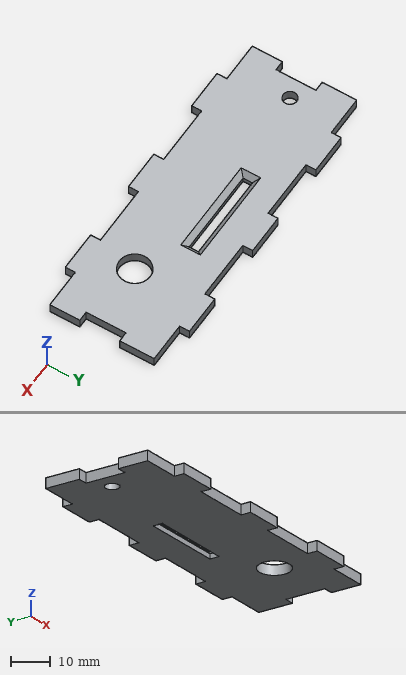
import cadquery as cq

length = 95.4
width = 37.2
thickness = 3.0

joint_depth = thickness
joint_length = 11.9
tab_pitch = 29.8
notch_center_y = -0.7

small_hole_diameter = 4.0
small_hole_center = (-39.2, 1.05)
large_hole_diameter = 9.2
large_hole_center = (26.7, -3.5)

slot_length = 28.4
slot_width = 5.8
slot_center = (0.0, 5.2)
slot_bevel = 1.5

body_width = width - 2 * joint_depth


def make_plate():
    """Flat plate with three tabs per long side and one notch in each end."""
    plate = cq.Workplane("XY").box(length, body_width, thickness)
    for tab_x in (-tab_pitch, 0, tab_pitch):
        bar = cq.Workplane("XY").box(joint_length, width, thickness)
        plate = plate.union(bar.translate((tab_x, 0, 0)))
    for side in (-1, 1):
        notch = cq.Workplane("XY").box(joint_depth, joint_length, thickness)
        notch_x = side * (length - joint_depth) / 2
        plate = plate.cut(notch.translate((notch_x, notch_center_y, 0)))
    return plate


def make_hole(diameter, center):
    """Cylinder that passes through the full plate thickness."""
    hole = cq.Workplane("XY").circle(diameter / 2).extrude(thickness / 2, both=True)
    return hole.translate((*center, 0))


def make_slot():
    """Straight through slot with a 45 degree bevel around its top edge."""
    through_length = slot_length - 2 * slot_bevel
    through_width = slot_width - 2 * slot_bevel
    through = cq.Workplane("XY").box(through_length, through_width, thickness)
    bevel = (
        cq.Workplane("XY", origin=(0, 0, thickness / 2))
        .rect(slot_length, slot_width)
        .workplane(offset=-slot_bevel)
        .rect(through_length, through_width)
        .loft(ruled=True, combine=True)
    )
    return through.union(bevel).translate((*slot_center, 0))


result = (
    make_plate()
    .cut(make_hole(small_hole_diameter, small_hole_center))
    .cut(make_hole(large_hole_diameter, large_hole_center))
    .cut(make_slot())
)